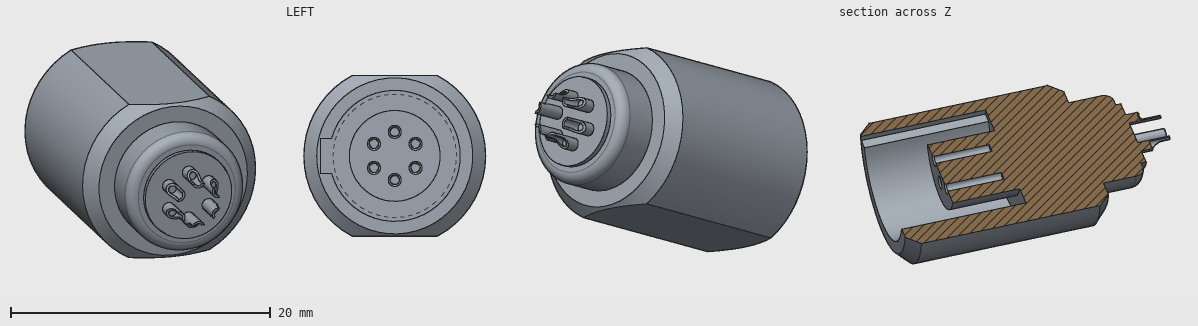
import cadquery as cq
import math

overall_length = 22.7

shell_length = 16.37
shell_diameter = 14.0
shell_chamfer = 1.0
height_over_flats = 12.4

bore_radius = 5.05
bore_depth = 9.99
keyway_width = 2.7
keyway_reach = 5.7

collar_radius = 4.75
collar_end = 19.77
collar_fillet = 0.82

insert_radius = 3.5
insert_start = 4.6
insert_end = 20.18

contact_count = 6
contact_circle_diameter = 3.7
contact_radius = 0.5
socket_radius = 0.36
socket_depth = 4.55
socket_chamfer = 0.14

cup_hole_radius = 0.32
cup_start = 21.07
cup_drop = 0.17
cup_arc_radius = 1.2


def cylinder(start, end, radius):
    """Solid cylinder on the X axis between two X positions."""
    return cq.Workplane("YZ", origin=(start, 0, 0)).circle(radius).extrude(end - start)


def make_shell():
    barrel = cylinder(0, shell_length, shell_diameter / 2).faces("<X or >X").chamfer(shell_chamfer)
    between_flats = cq.Workplane("XY").box(
        shell_length, shell_diameter, height_over_flats, centered=(False, True, True)
    )
    return barrel.intersect(between_flats)


def make_bore():
    keyway = cq.Workplane("XY").box(
        bore_depth, keyway_reach, keyway_width, centered=(False, False, True)
    )
    return cylinder(0, bore_depth, bore_radius).union(keyway)


def make_collar():
    collar = cylinder(shell_length, collar_end, collar_radius)
    return collar.faces(">X").edges().fillet(collar_fillet)


def make_insert():
    return cylinder(insert_start, insert_end, insert_radius)


def make_solder_pin():
    """Pin on the X axis whose rear end is a half-open cup facing +Z."""
    pin = cylinder(shell_length, overall_length, contact_radius)
    cup_hole = cylinder(cup_start, overall_length, cup_hole_radius)
    arc_centre_height = cup_arc_radius - cup_drop
    arc_run = math.sqrt(cup_arc_radius**2 - (arc_centre_height - contact_radius) ** 2)
    flat_start = cup_start + arc_run
    half_angle = math.asin(arc_run / cup_arc_radius) / 2
    arc_middle = (
        flat_start - cup_arc_radius * math.sin(half_angle),
        arc_centre_height - cup_arc_radius * math.cos(half_angle),
    )
    opening = (
        cq.Workplane("XZ")
        .moveTo(cup_start, contact_radius)
        .threePointArc(arc_middle, (flat_start, -cup_drop))
        .lineTo(overall_length, -cup_drop)
        .lineTo(overall_length, contact_radius)
        .close()
        .extrude(contact_radius, both=True)
    )
    return pin.cut(cup_hole).cut(opening)


def make_contact_socket():
    """Hole on the X axis in the insert face, with a countersunk mouth."""
    mouth_radius = socket_radius + socket_chamfer
    return (
        cq.Workplane("XY")
        .moveTo(insert_start, 0)
        .lineTo(insert_start, mouth_radius)
        .lineTo(insert_start + socket_chamfer, socket_radius)
        .lineTo(insert_start + socket_depth, socket_radius)
        .lineTo(insert_start + socket_depth, 0)
        .close()
        .revolve(360, (0, 0, 0), (1, 0, 0))
    )


def at_contact(shape, index):
    """Move a shape from the axis to one contact position, its +Z side facing outward."""
    angle = index * 360 / contact_count
    on_circle = shape.translate((0, 0, contact_circle_diameter / 2))
    return on_circle.rotate((0, 0, 0), (1, 0, 0), angle)


result = make_shell().cut(make_bore()).union(make_collar()).union(make_insert())
solder_pin = make_solder_pin()
contact_socket = make_contact_socket()
for contact in range(contact_count):
    result = result.union(at_contact(solder_pin, contact))
    result = result.cut(at_contact(contact_socket, contact))